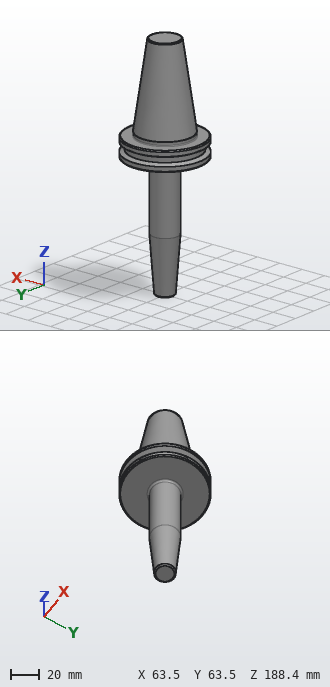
import cadquery as cq
import math

total_length = 188.4
gauge_height = 120.0
flange_top = 116.8
flange_bottom = 100.8
nose_cone_top = 45.2

gauge_radius = 22.2
taper_slope = 7 / 48
taper_top_radius = gauge_radius - (total_length - gauge_height) * taper_slope
taper_top_chamfer = 0.8

neck_radius = 21.9
neck_fillet = 0.5

flange_diameter = 63.5
flange_radius = flange_diameter / 2
flange_chamfer = 1.0
groove_center = 108.9
groove_floor_radius = 28.0
groove_floor_width = 4.0
groove_mouth_width = 7.5

shank_radius = 11.0
shank_fillet = 1.5
nose_half_angle = 4.2
nose_tip_radius = shank_radius - nose_cone_top * math.tan(math.radians(nose_half_angle))
nose_tip_chamfer = 1.1


def fillet_midpoint(center_radius, center_height, fillet_radius, vertical_direction):
    """Middle of an inside fillet, on the side facing the axis and the flange."""
    offset = fillet_radius * math.sqrt(0.5)
    return (center_radius - offset, center_height + vertical_direction * offset)


def make_half_profile():
    """Closed half section in the XZ plane, drawn from the nose tip upward."""
    shank_fillet_radius = shank_radius + shank_fillet
    shank_fillet_start = flange_bottom - shank_fillet
    neck_fillet_radius = neck_radius + neck_fillet
    neck_fillet_end = flange_top + neck_fillet
    flange_face_radius = flange_radius - flange_chamfer

    profile = cq.Workplane("XZ").lineTo(nose_tip_radius - nose_tip_chamfer, 0)

    profile = (
        profile.lineTo(nose_tip_radius, nose_tip_chamfer)
        .lineTo(shank_radius, nose_cone_top)
        .lineTo(shank_radius, shank_fillet_start)
        .threePointArc(
            fillet_midpoint(shank_fillet_radius, shank_fillet_start, shank_fillet, 1),
            (shank_fillet_radius, flange_bottom),
        )
    )

    profile = (
        profile.lineTo(flange_face_radius, flange_bottom)
        .lineTo(flange_radius, flange_bottom + flange_chamfer)
        .lineTo(flange_radius, groove_center - groove_mouth_width / 2)
        .lineTo(groove_floor_radius, groove_center - groove_floor_width / 2)
        .lineTo(groove_floor_radius, groove_center + groove_floor_width / 2)
        .lineTo(flange_radius, groove_center + groove_mouth_width / 2)
        .lineTo(flange_radius, flange_top - flange_chamfer)
        .lineTo(flange_face_radius, flange_top)
    )

    profile = (
        profile.lineTo(neck_fillet_radius, flange_top)
        .threePointArc(
            fillet_midpoint(neck_fillet_radius, neck_fillet_end, neck_fillet, -1),
            (neck_radius, neck_fillet_end),
        )
        .lineTo(neck_radius, gauge_height - (gauge_radius - neck_radius))
        .lineTo(gauge_radius, gauge_height)
        .lineTo(
            taper_top_radius + taper_top_chamfer * taper_slope,
            total_length - taper_top_chamfer,
        )
        .lineTo(taper_top_radius - taper_top_chamfer, total_length)
        .lineTo(0, total_length)
    )
    return profile.close()


result = make_half_profile().revolve(360, (0, 0, 0), (0, 1, 0))